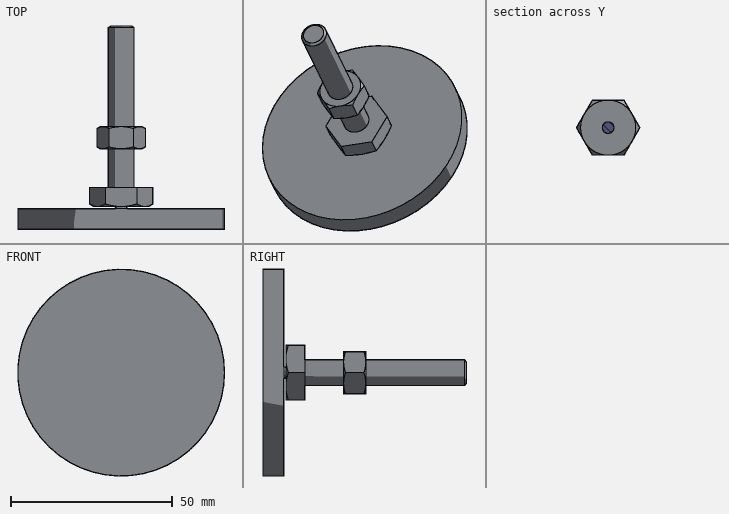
import cadquery as cq
import math

overall_length = 63.0

pad_diameter = 64.0
pad_thickness = 6.45

stud_diameter = 8.0
tip_chamfer_depth = 0.8
tip_chamfer_length = 0.6

neck_length = 0.65
neck_pad_diameter = 3.8
neck_head_diameter = 3.3

head_across_flats = 17.0
head_height = 5.9

nut_start = 24.95
nut_across_flats = 13.05
nut_height = 6.85

hex_chamfer_angle = 30.0

pad_back = -overall_length / 2 + pad_thickness
head_start = pad_back + neck_length
shank_start = head_start + head_height
stud_end = overall_length / 2
nut_base = -overall_length / 2 + nut_start


def revolve_about_y(profile_points):
    """Turn a closed (radius, y) outline around the Y axis."""
    return cq.Workplane("XY").polyline(profile_points).close().revolve(360, (0, 0), (0, 1))


def hexagon(across_flats, height, start, chamfer_far_end):
    """Hexagonal block along +Y, corners on X, with conical corner chamfers."""
    corner_radius = across_flats / 2 / math.cos(math.radians(30))
    flat_radius = across_flats / 2
    chamfer = (corner_radius - flat_radius) * math.tan(math.radians(hex_chamfer_angle))
    end = start + height

    block = (
        cq.Workplane("XZ", origin=(0, start, 0))
        .polygon(6, 2 * corner_radius)
        .extrude(-height)
    )
    envelope = [(0, start), (flat_radius, start), (corner_radius, start + chamfer)]
    if chamfer_far_end:
        envelope += [(corner_radius, end - chamfer), (flat_radius, end), (0, end)]
    else:
        envelope += [(corner_radius, end), (0, end)]
    return block.intersect(revolve_about_y(envelope))


def make_pad():
    """Plain round foot pad."""
    return cq.Workplane("XZ", origin=(0, pad_back, 0)).circle(pad_diameter / 2).extrude(pad_thickness)


def make_stud():
    """Stud with a chamfered tip, a hexagonal head and a tapered neck resting on the pad."""
    stud_radius = stud_diameter / 2
    shank = revolve_about_y([
        (0, shank_start),
        (stud_radius, shank_start),
        (stud_radius, stud_end - tip_chamfer_length),
        (stud_radius - tip_chamfer_depth, stud_end),
        (0, stud_end),
    ])
    head = hexagon(head_across_flats, head_height, head_start, chamfer_far_end=False)
    neck = revolve_about_y([
        (0, pad_back),
        (neck_pad_diameter / 2, pad_back),
        (neck_head_diameter / 2, head_start),
        (0, head_start),
    ])
    return head.union(shank).union(neck)


def make_nut():
    """Lock nut chamfered at both ends, with a bore that fits the stud."""
    body = hexagon(nut_across_flats, nut_height, nut_base, chamfer_far_end=True)
    bore = cq.Workplane("XZ", origin=(0, nut_base, 0)).circle(stud_diameter / 2).extrude(-nut_height)
    return body.cut(bore)


pad = make_pad()
stud = make_stud()
nut = make_nut()

result = cq.Compound.makeCompound([pad.val(), stud.val(), nut.val()])